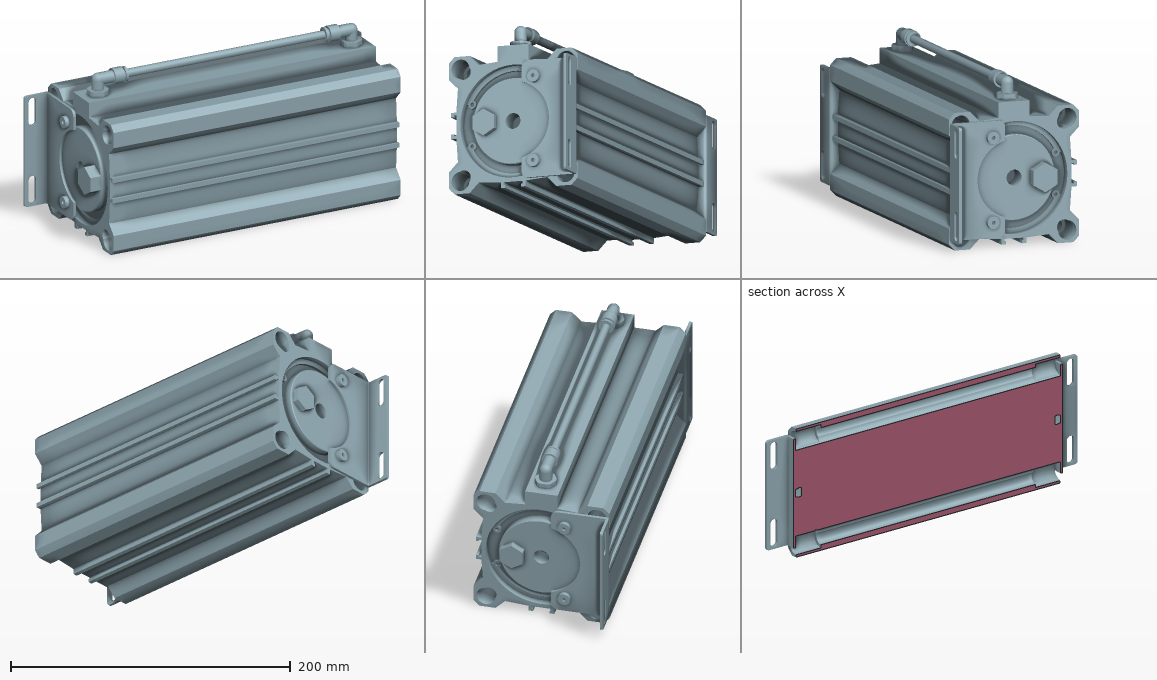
import cadquery as cq


body_half_length = 116.0
body_width = 100.0
body_half_width = body_width / 2
lobe_inner = 33.8
lobe_drop = 7.0
lobe_round_diameter = 135.2
side_flat = 44.1
rail_outer = 48.2
rail_half_span = 9.5
rail_wall = 2.2
rail_lip = 1.23
port_block_half_width = 12.0
port_block_top = 55.3

bolt_offset = 41.0
bolt_hole_diameter = 9.0
bolt_counterbore_diameter = 14.0
bolt_counterbore_depth = 21.8
relief_offset = 38.5
relief_diameter = 11.0

bore_diameter = 82.0
bore_depth = 6.8
boss_diameter = 62.7
boss_chamfer = 0.5
center_hole_diameter = 11.5
center_hole_depth = 13.5

ring_inner_diameter = 74.7
ring_recess = 4.5
lug_x = 33.8
lug_z = 15.3
lug_diameter = 6.0
lug_hole_diameter = 3.0

plug_x = 21.0
front_plug_flats = 18.5
front_plug_height = 8.5
rear_plug_flats = 17.0
rear_plug_height = 5.2

overall_half_length = 136.2
plate = 2.2
bracket_half_height = 42.5
bracket_inner_x = -7.5
bracket_corner_radius = 5.0
bracket_cutout_radius = 29.0
bend_outer_radius = 2.2
bend_inner_radius = 0.8
flange_corner_radius = 2.2
slot_length = 21.3
slot_width = 6.0
slot_y = 130.0
slot_z = 30.0

screw_x = -17.7
screw_z = 30.8
screw_head_diameter = 9.0
screw_head_height = 3.3
screw_socket_flats = 2.7
screw_socket_depth = 2.2

elbow_y = 102.5
tube_z = 67.0
nut_flats = 14.7
nut_height = 4.0
nut_corner_chamfer = 1.4
elbow_diameter = 9.0
collar_diameter = 11.7
collar_start = 91.0
collar_end = 83.5
neck_diameter = 8.5
flange_diameter = 11.0
flange_start = 82.0
flange_end = 80.0
tube_diameter = 6.0

SIGNS = (1, -1)


def disc(diameter, y_start, y_end, x=0, z=0):
    """Cylinder along Y between two Y positions."""
    plane = cq.Workplane("XZ", origin=(x, y_start, z))
    return plane.circle(diameter / 2).extrude(y_start - y_end)


def hexagon_width(across_flats):
    """Distance across the corners of a hexagon."""
    return across_flats * 2 / 3**0.5


def both_ends(shape):
    """The shape together with its mirror image at the other end of the cylinder."""
    return shape.union(shape.mirror("XZ"))


def make_side():
    """Profile of one side from corner to corner, as (along, out) points, with two hooked rails."""
    lobe_foot = lobe_inner - lobe_drop
    side_edge = body_half_width - lobe_drop
    rail_inner = rail_half_span - rail_wall
    lip_bottom = rail_outer - rail_wall
    half = [
        (body_half_width, body_half_width),
        (lobe_inner, body_half_width),
        (lobe_foot, side_edge),
        (rail_half_span, side_flat),
        (rail_half_span, rail_outer),
        (rail_inner - rail_lip, rail_outer),
        (rail_inner - rail_lip, lip_bottom),
        (rail_inner, lip_bottom),
        (rail_inner, side_flat),
    ]
    return half + [(-along, out) for along, out in reversed(half)]


def make_body():
    """Extruded tube with rails on three sides and a raised port block on top."""
    side = make_side()
    plain_side = side[:4] + side[-4:]
    outline = [(-along, out) for along, out in plain_side[:-1]]
    outline += [(out, along) for along, out in side[:-1]]
    outline += [(along, -out) for along, out in side[:-1]]
    outline += [(-out, -along) for along, out in side[:-1]]
    body = cq.Workplane("XZ").polyline(outline).close().extrude(body_half_length, both=True)
    body = body.intersect(disc(lobe_round_diameter, -body_half_length, body_half_length))
    block = cq.Workplane("XY").box(
        2 * port_block_half_width, 2 * body_half_length, port_block_top, centered=(True, True, False)
    )
    return body.union(block)


def cut_bolt_holes(body):
    ends = (-body_half_length, body_half_length)
    counterbore_floor = -body_half_length + bolt_counterbore_depth
    for sx in SIGNS:
        for sz in SIGNS:
            bolt = (sx * bolt_offset, sz * bolt_offset)
            relief = (sx * relief_offset, sz * relief_offset)
            body = body.cut(disc(bolt_hole_diameter, *ends, *bolt))
            body = body.cut(disc(relief_diameter, *ends, *relief))
            counterbore = disc(bolt_counterbore_diameter, ends[0], counterbore_floor, *bolt)
            body = body.cut(both_ends(counterbore))
    return body


def cut_head_recesses(body):
    floor = -body_half_length + bore_depth
    boss = disc(boss_diameter, -body_half_length, floor).faces("<Y").chamfer(boss_chamfer)
    recess = disc(bore_diameter, -body_half_length, floor).cut(boss)
    center_hole = disc(center_hole_diameter, -body_half_length, -body_half_length + center_hole_depth)
    return body.cut(both_ends(recess.union(center_hole)))


def make_retaining_ring():
    """Open ring at the front end with a drilled lug on each side of its gap."""
    y_start = -body_half_length + ring_recess
    y_end = -body_half_length + bore_depth
    ring = disc(bore_diameter, y_start, y_end).cut(disc(ring_inner_diameter, y_start, y_end))
    gap = cq.Workplane("XY").box(
        bore_diameter, 2 * body_half_length, 2 * lug_z, centered=(False, True, True)
    )
    ring = ring.cut(gap)
    for sz in SIGNS:
        ring = ring.union(disc(lug_diameter, y_start, y_end, lug_x, sz * lug_z))
        ring = ring.cut(disc(lug_hole_diameter, y_start, y_end, lug_x, sz * lug_z))
    return ring


def hexagon_bar(across_flats, y_start, y_end, x, z):
    """Hexagon bar along Y with two corners pointing along X."""
    plane = cq.Workplane("XZ", origin=(x, y_start, z))
    return plane.polygon(6, hexagon_width(across_flats)).extrude(y_start - y_end)


def make_plug(across_flats, y_start, y_end):
    """Hexagon plug with two flats facing along X."""
    bar = hexagon_bar(across_flats, y_start, y_end, plug_x, 0)
    return bar.rotate((plug_x, 0, 0), (plug_x, 1, 0), 90)


def make_bracket():
    """Front angle bracket: a plate on the end face and a slotted flange along the left side."""
    left = -body_half_width
    angle = [
        (left, -body_half_length),
        (left, -overall_half_length),
        (left + plate, -overall_half_length),
        (left + plate, -body_half_length - plate),
        (bracket_inner_x, -body_half_length - plate),
        (bracket_inner_x, -body_half_length),
    ]
    bracket = cq.Workplane("XY").polyline(angle).close().extrude(bracket_half_height, both=True)
    bracket = bracket.edges("|Y and >X").fillet(bracket_corner_radius)
    bracket = bracket.edges("|X and <Y").fillet(flange_corner_radius)
    bends = [
        ((left, -body_half_length, 0), bend_outer_radius),
        ((left + plate, -body_half_length - plate, 0), bend_inner_radius),
    ]
    for bend, radius in bends:
        bracket = bracket.edges(cq.selectors.NearestToPointSelector(bend)).fillet(radius)
    bracket = bracket.cut(disc(2 * bracket_cutout_radius, -overall_half_length, 0))
    slots = (
        cq.Workplane("YZ", origin=(left, 0, 0))
        .pushPoints([(-slot_y, slot_z), (-slot_y, -slot_z)])
        .slot2D(slot_length, slot_width, 90)
        .extrude(plate)
    )
    bracket = bracket.cut(slots)
    head_seat = -body_half_length - plate
    head_top = head_seat - screw_head_height
    socket_floor = head_top + screw_socket_depth
    for sz in SIGNS:
        place = (screw_x, sz * screw_z)
        bracket = bracket.union(disc(screw_head_diameter, head_seat, head_top, *place))
        bracket = bracket.cut(hexagon_bar(screw_socket_flats, head_top, socket_floor, *place))
    return bracket


def make_fitting():
    """Front elbow fitting."""
    nut = (
        cq.Workplane("XY", origin=(0, -elbow_y, port_block_top))
        .polygon(6, hexagon_width(nut_flats))
        .extrude(nut_height)
        .edges("|Z")
        .chamfer(nut_corner_chamfer)
    )
    riser = (
        cq.Workplane("XY", origin=(0, -elbow_y, port_block_top))
        .circle(elbow_diameter / 2)
        .extrude(tube_z - port_block_top)
    )
    knee = cq.Workplane("XY", origin=(0, -elbow_y, tube_z)).sphere(elbow_diameter / 2)
    fitting = nut.union(riser).union(knee)
    stages = [
        (elbow_diameter, elbow_y, collar_start),
        (collar_diameter, collar_start, collar_end),
        (neck_diameter, collar_end, flange_start),
        (flange_diameter, flange_start, flange_end),
    ]
    for diameter, far, near in stages:
        fitting = fitting.union(disc(diameter, -far, -near, z=tube_z))
    return fitting


front_face = -body_half_length
rear_face = body_half_length
front_plug = make_plug(front_plug_flats, front_face - front_plug_height, front_face + bore_depth)
rear_plug = make_plug(rear_plug_flats, rear_face - bore_depth, rear_face + rear_plug_height)
air_tube = disc(tube_diameter, -flange_end, flange_end, z=tube_z)

result = cut_head_recesses(cut_bolt_holes(make_body()))
result = result.union(both_ends(make_retaining_ring()))
result = result.union(both_ends(make_bracket()))
result = result.union(both_ends(make_fitting()))
result = result.union(air_tube).union(front_plug).union(rear_plug)